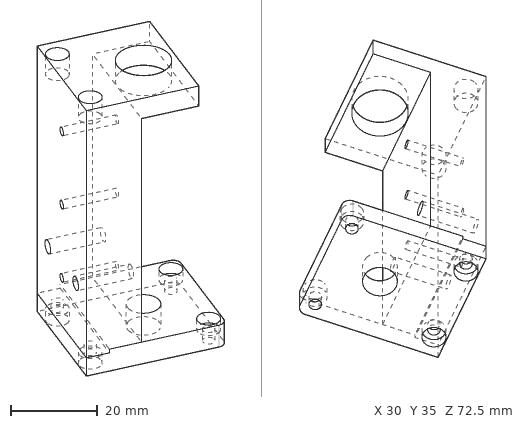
import cadquery as cq

width = 30.0
total_height = 72.5

bore_y = 20.35

screw_clearance_diameter = 2.9
screw_head_diameter = 5.5
screw_head_depth = 2.9

base_length = 35.0
base_height = 6.0
base_corner_radius = 2.0
step_length = 5.75
step_drop = 1.0
step_z = base_height - step_drop
base_bore_diameter = 8.0

rear_screw_spacing = 23.0
rear_screw_y = bore_y + rear_screw_spacing / 2

front_screw_spacing = 20.0
front_screw_y = 3.0

post_depth = 13.75
arm_length = 28.0
arm_thickness = 5.5
arm_bore_diameter = 13.0
top_socket_diameter = 5.5
top_socket_depth = 5.5

mount_hole_diameter = 3.4
mount_hole_spacing = 17.0
mount_hole_z = 21.5
tapped_hole_diameter = 2.05
tapped_hole_pitch = 20.0
tapped_hole_count = 3
lowest_tapped_hole_z = 18.0


def side_profile(points):
    """Solid with a Y-Z outline, extruded across the full width and centred on x = 0."""
    return cq.Workplane("YZ").polyline(points).close().extrude(width / 2, both=True)


def vertical_hole(x, y, top, diameter, depth):
    """Cylinder hanging down from height top."""
    return cq.Workplane("XY", origin=(x, y, top)).circle(diameter / 2).extrude(-depth)


def post_hole(x, z, diameter):
    """Cylinder running from the front face of the post to its back face."""
    return cq.Workplane("XZ", origin=(x, 0, z)).circle(diameter / 2).extrude(-post_depth)


def make_base():
    base = side_profile([
        (0, 0),
        (base_length, 0),
        (base_length, base_height),
        (step_length, base_height),
        (step_length, step_z),
        (0, step_z),
    ])
    base = base.edges("|Z and >Y").fillet(base_corner_radius)
    base = base.cut(vertical_hole(0, bore_y, base_height, base_bore_diameter, base_height))
    for side in (-1, 1):
        rear_x = side * rear_screw_spacing / 2
        base = base.cut(
            vertical_hole(rear_x, rear_screw_y, base_height, screw_clearance_diameter, base_height)
        )
        base = base.cut(
            vertical_hole(rear_x, rear_screw_y, base_height, screw_head_diameter, screw_head_depth)
        )
        front_x = side * front_screw_spacing / 2
        base = base.cut(vertical_hole(front_x, front_screw_y, step_z, screw_clearance_diameter, step_z))
        base = base.cut(
            vertical_hole(front_x, front_screw_y, screw_head_depth, screw_head_diameter, screw_head_depth)
        )
    return base


def make_bracket():
    arm_underside = total_height - arm_thickness
    bracket = side_profile([
        (0, step_z),
        (step_length, step_z),
        (step_length, base_height),
        (post_depth, base_height),
        (post_depth, arm_underside),
        (arm_length, arm_underside),
        (arm_length, total_height),
        (0, total_height),
    ])
    bracket = bracket.cut(vertical_hole(0, bore_y, total_height, arm_bore_diameter, arm_thickness))
    for side in (-1, 1):
        socket_x = side * front_screw_spacing / 2
        bracket = bracket.cut(
            vertical_hole(socket_x, front_screw_y, total_height, top_socket_diameter, top_socket_depth)
        )
        mount_x = side * mount_hole_spacing / 2
        bracket = bracket.cut(post_hole(mount_x, mount_hole_z, mount_hole_diameter))
    for index in range(tapped_hole_count):
        z = lowest_tapped_hole_z + index * tapped_hole_pitch
        bracket = bracket.cut(post_hole(0, z, tapped_hole_diameter))
    return bracket


base = make_base()
bracket = make_bracket()

result = cq.Compound.makeCompound([base.val(), bracket.val()])